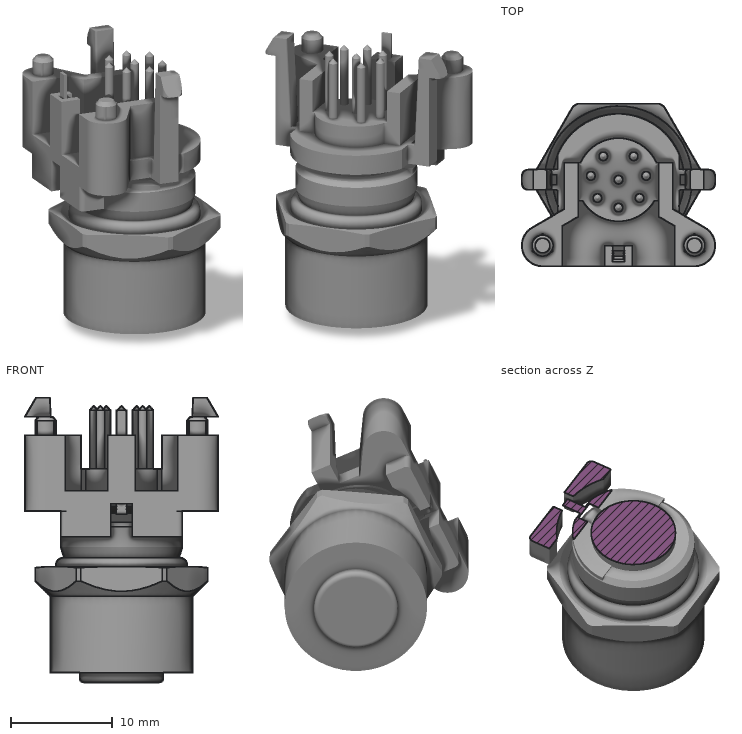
import cadquery as cq
import math

width = 19.0
depth = 16.0
height = 28.0

plug_radius = 4.12
plug_round = 0.45
sleeve_radius = 7.0
sleeve_bottom = 0.98
nut_bottom = 8.48
nut_top = 11.28
nut_flat_distance = 7.48
nut_corner_radius = 8.48
nut_crown_radius = 7.42
nut_crown_top = 11.4
sink_rim_radius = 7.25
sink_depth = 0.45
seal_center_radius = 5.75
seal_center_height = 11.55
seal_thickness_radius = 0.73
seal_radius = seal_center_radius + seal_thickness_radius
seal_top = seal_center_height + seal_thickness_radius
body_foot_radius = 5.65
body_radius = 6.0
body_cone_top = 13.33
body_edge = 15.3
body_top = 15.75
body_top_radius = 5.45

neck_radius = 4.17
insert_radius = 4.1
insert_top = 21.0
pin_radius = 0.42
pin_circle_radius = 2.75
pin_pitch_angle = 49
pin_count = 7
pin_shoulder = 26.75
pin_tip = 27.2

floor_bottom = 16.83
floor_top = 18.82
wall_top = 24.3
disc_radius = 6.5
disc_flat_distance = 5.95
disc_flat_front_y = -3.08
front_y = nut_flat_distance - depth
wall_end_y = 1.68
wall_inner_x = 3.98
wall_outer_x = 5.35
wall_bend_y = -3.65
bay_half_width = 5.52
bay_bend_y = -4.55
ear_radius = 2.05
ear_x = width / 2 - ear_radius
ear_y = front_y + ear_radius
ear_slope_angle = math.radians(30)
pad_front_y = -2.07
skirt_half_width = 6.0
skirt_back_y = -6.05
skirt_bottom = 14.3
skirt_inner_radius = 7.53
skirt_round = 0.5
window_half_width = 1.05
window_top = 17.55
post_half_width = 1.37
post_back_y = -6.5
slot_half_width = 0.6
slot_front_y = -8.05

peg_radius = 1.05
peg_top_radius = 0.73
peg_shoulder = 25.7
peg_top = 26.1
peg_rib_reach = 1.15
peg_rib_half_width = 0.17
peg_rib_angles = (90, 210, 330)

arm_half_width = 1.0
arm_outer_x = 8.2
arm_root_x = 6.58
arm_tip_x = 7.03
arm_edge_round = 0.2
hook_top_x = 8.4
hook_bottom = 26.1
hook_reach = width / 2
hook_corner_round = 0.67
bridge_round = 0.15
notch_inner_x = 6.05
notch_half_width = 0.5
notch_depth = 0.28

ring_inner_radius = 4.05
ring_outer_radius = 6.0
ring_thickness = 0.45
ring_low = 15.45
ring_bend_radius = 14.17
blade_half_width = 0.5
blade_back_y = -7.53
blade_front_y = -7.85
tab_bottom = 16.55
tab_top = 17.02
tab_bend_round = 0.28
fork_back_y = -5.6
fork_front_y = -7.0


def block(x_range, y_range, z_range):
    """Axis-aligned block between three pairs of limits."""
    lows = [min(pair) for pair in (x_range, y_range, z_range)]
    sizes = [abs(pair[1] - pair[0]) for pair in (x_range, y_range, z_range)]
    return cq.Workplane("XY").box(*sizes, centered=False).translate(tuple(lows))


def cylinder(radius, bottom, top, x=0, y=0):
    """Upright cylinder."""
    return cq.Workplane("XY", origin=(x, y, bottom)).circle(radius).extrude(top - bottom)


def turned(points):
    """Solid turned about Z from (radius, z) points; the outline closes along the axis."""
    outline = [(0, points[0][1])] + points
    if points[-1][0] > 0:
        outline.append((0, points[-1][1]))
    return cq.Workplane("XZ").polyline(outline).close().revolve(360, (0, 0), (0, 1))


def both_sides(solid):
    """The solid together with its mirror image across the YZ plane."""
    return solid.union(solid.mirror("YZ"))


def make_nut():
    corner_diameter = 2 * nut_flat_distance / math.cos(math.pi / 6)
    prism = (
        cq.Workplane("XY", origin=(0, 0, nut_bottom))
        .polygon(6, corner_diameter)
        .extrude(nut_crown_top - nut_bottom)
    )
    chamfer_rise = nut_corner_radius - sleeve_radius
    envelope = turned([
        (sleeve_radius, nut_bottom),
        (nut_corner_radius, nut_bottom + chamfer_rise),
        (nut_corner_radius, nut_top),
        (nut_crown_radius, nut_crown_top),
    ])
    countersink = turned([
        (seal_radius, nut_crown_top - sink_depth),
        (sink_rim_radius, nut_crown_top),
    ])
    return prism.intersect(envelope).cut(countersink)


def make_mating_end():
    plug = cylinder(plug_radius, 0, sleeve_bottom).faces("<Z").edges().fillet(plug_round)
    sleeve = cylinder(sleeve_radius, sleeve_bottom, nut_bottom)
    seal_seat = cylinder(seal_radius, nut_bottom, seal_center_height)
    seal = (
        cq.Workplane("XZ")
        .center(seal_center_radius, seal_center_height)
        .circle(seal_thickness_radius)
        .revolve(360, (-seal_center_radius, 0), (-seal_center_radius, 1))
    )
    body = turned([
        (body_foot_radius, seal_center_height),
        (body_foot_radius, seal_top),
        (body_radius, body_cone_top),
        (body_radius, body_edge),
        (body_top_radius, body_top),
    ])
    return plug.union(sleeve).union(make_nut()).union(seal_seat).union(seal).union(body)


def make_insert():
    neck = cylinder(neck_radius, body_top, floor_bottom)
    core = cylinder(insert_radius, floor_bottom, insert_top)
    pads = block((-wall_inner_x, wall_inner_x), (pad_front_y, wall_end_y), (floor_top, insert_top))
    return neck.union(core).union(pads)


def make_pins():
    pin = turned([
        (pin_radius, floor_top),
        (pin_radius, pin_shoulder),
        (0, pin_tip),
    ])
    pins = pin
    for index in range(pin_count):
        angle = math.radians(-90 + (index - pin_count // 2) * pin_pitch_angle)
        x = pin_circle_radius * math.cos(angle)
        y = pin_circle_radius * math.sin(angle)
        pins = pins.union(pin.translate((x, y, 0)))
    return pins


def make_wall():
    """Right-hand wall with its rounded ear; the sloped side runs tangent to the ear."""
    tangent_x = ear_x + ear_radius * math.sin(ear_slope_angle)
    tangent_y = ear_y + ear_radius * math.cos(ear_slope_angle)
    wall_outer_y = tangent_y + (tangent_x - wall_outer_x) * math.tan(ear_slope_angle)
    return (
        cq.Workplane("XY", origin=(0, 0, floor_bottom))
        .moveTo(wall_inner_x, wall_end_y)
        .lineTo(wall_inner_x, wall_bend_y)
        .lineTo(bay_half_width, bay_bend_y)
        .lineTo(bay_half_width, front_y)
        .lineTo(ear_x, front_y)
        .threePointArc((ear_x + ear_radius, ear_y), (tangent_x, tangent_y))
        .lineTo(wall_outer_x, wall_outer_y)
        .lineTo(wall_outer_x, wall_end_y)
        .close()
        .extrude(wall_top - floor_bottom)
    )


def make_carrier():
    flats = (-disc_flat_distance, disc_flat_distance)
    disc = cylinder(disc_radius, floor_bottom, floor_top).intersect(
        block(flats, (-disc_radius, disc_radius), (floor_bottom, floor_top))
    )
    shoulders = block(flats, (disc_flat_front_y, 0), (floor_bottom, floor_top))
    bay_floor = block(
        (-bay_half_width, bay_half_width), (front_y, wall_bend_y), (floor_bottom, floor_top)
    )
    skirt = (
        block((-skirt_half_width, skirt_half_width), (front_y, skirt_back_y), (skirt_bottom, floor_bottom))
        .edges("|Z and <Y")
        .fillet(skirt_round)
        .cut(cylinder(skirt_inner_radius, skirt_bottom, floor_bottom))
    )
    post = block((-post_half_width, post_half_width), (front_y, post_back_y), (floor_top, wall_top))
    window = block(
        (-window_half_width, window_half_width), (front_y, skirt_back_y), (skirt_bottom, window_top)
    )
    slot = block((-slot_half_width, slot_half_width), (slot_front_y, post_back_y), (window_top, wall_top))
    carrier = disc.union(shoulders).union(bay_floor).union(both_sides(make_wall())).union(skirt).union(post)
    return carrier.cut(window).cut(slot)


def make_peg():
    peg = turned([
        (peg_radius, floor_top),
        (peg_radius, peg_shoulder),
        (peg_top_radius, peg_top),
    ])
    rib = (
        cq.Workplane("XY", origin=(0, 0, floor_top))
        .polyline([
            (0, peg_rib_half_width),
            (peg_radius, peg_rib_half_width),
            (peg_rib_reach, 0),
            (peg_radius, -peg_rib_half_width),
            (0, -peg_rib_half_width),
        ])
        .close()
        .extrude(peg_shoulder - floor_top)
    )
    for angle in peg_rib_angles:
        peg = peg.union(rib.rotate((0, 0, 0), (0, 0, 1), angle))
    return peg.translate((ear_x, ear_y, 0))


def make_snap_arm():
    """Right-hand snap arm with its hook and the bridge that ties it to the disc."""
    sides = (-arm_half_width, arm_half_width)
    arm = (
        cq.Workplane("XZ", origin=(0, arm_half_width, 0))
        .polyline([
            (arm_root_x, floor_bottom),
            (arm_outer_x, floor_bottom),
            (arm_outer_x, hook_bottom),
            (hook_reach, hook_bottom),
            (hook_top_x, height),
            (arm_tip_x, height),
            (arm_root_x, floor_top),
        ])
        .close()
        .extrude(2 * arm_half_width)
    )
    rounded_envelope = (
        block((arm_root_x, hook_reach), sides, (floor_bottom, height))
        .edges("|Z and >X")
        .fillet(hook_corner_round)
    )
    arm = arm.intersect(rounded_envelope)
    bridge = block((disc_flat_distance, arm_root_x), sides, (floor_bottom, floor_top))
    notch = block(
        (notch_inner_x, arm_root_x),
        (-notch_half_width, notch_half_width),
        (floor_top - notch_depth, floor_top),
    )
    for side in (-1, 1):
        corner_y = side * arm_half_width
        filler = block(
            (disc_flat_distance, disc_flat_distance + bridge_round),
            (corner_y, corner_y + side * bridge_round),
            (floor_bottom, floor_top),
        )
        relief = cylinder(
            bridge_round, floor_bottom, floor_top,
            disc_flat_distance + bridge_round, corner_y + side * bridge_round,
        )
        bridge = bridge.union(filler.cut(relief))
    inner_edges = cq.selectors.BoxSelector(
        (arm_root_x, -width, insert_top), (arm_tip_x, width, hook_bottom)
    )
    return arm.union(bridge).edges(inner_edges).fillet(arm_edge_round).cut(notch)


def make_ground_contact():
    bend_axis_height = ring_low + ring_bend_radius
    sheet = (
        cq.Workplane("YZ", origin=(-ring_outer_radius, 0, 0))
        .center(0, bend_axis_height)
        .circle(ring_bend_radius)
        .circle(ring_bend_radius - ring_thickness)
        .extrude(2 * ring_outer_radius)
    )
    levels = (ring_low, wall_top)
    half_ring = (
        cylinder(ring_outer_radius, *levels)
        .cut(cylinder(ring_inner_radius, *levels))
        .intersect(block((-width, width), (-depth, 0), levels))
    )
    fork_sides = (-window_half_width, window_half_width)
    fork_gap = block(fork_sides, (fork_back_y, 0), levels)
    web = block(fork_sides, (fork_front_y, fork_back_y), levels)
    fingers = sheet.intersect(half_ring.cut(fork_gap).union(web))
    blade_sides = (-blade_half_width, blade_half_width)
    tab = block(blade_sides, (blade_front_y, fork_back_y), (tab_bottom, tab_top))
    blade = block(blade_sides, (blade_front_y, blade_back_y), (tab_bottom, pin_shoulder))
    bent_blade = tab.union(blade).edges("|X and <Y and <Z").fillet(tab_bend_round)
    return fingers.union(bent_blade)


result = (
    make_mating_end()
    .union(make_insert())
    .union(make_pins())
    .union(make_carrier())
    .union(both_sides(make_peg()))
    .union(both_sides(make_snap_arm()))
    .union(make_ground_contact())
)